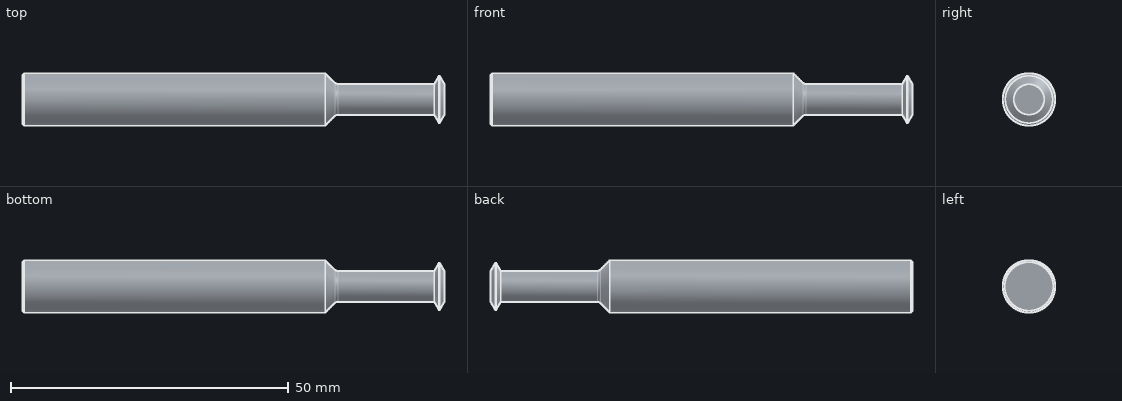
import cadquery as cq
import math

total_length = 76.2
shank_radius = 4.76
shank_length = 54.6
rear_chamfer = 0.4
neck_radius = 2.8
shoulder_angle = math.radians(45)
shoulder_fillet_radius = 0.8
cutter_radius = 4.3
cutter_tip_width = 0.15
cutter_front_radius = 2.75
flank_angle = math.radians(30)

fillet_start_radius = neck_radius + shoulder_fillet_radius * (1 - math.cos(shoulder_angle))
fillet_start_x = shank_length + (shank_radius - fillet_start_radius) / math.tan(shoulder_angle)
fillet_end_x = fillet_start_x + shoulder_fillet_radius * math.sin(shoulder_angle)
fillet_middle_x = fillet_end_x - shoulder_fillet_radius * math.sin(shoulder_angle / 2)
fillet_middle_radius = neck_radius + shoulder_fillet_radius * (1 - math.cos(shoulder_angle / 2))

tip_front_x = total_length - (cutter_radius - cutter_front_radius) * math.tan(flank_angle)
tip_rear_x = tip_front_x - cutter_tip_width
neck_end_x = tip_rear_x - (cutter_radius - neck_radius) * math.tan(flank_angle)

profile = (
    cq.Workplane("XZ")
    .moveTo(0, 0)
    .lineTo(0, shank_radius - rear_chamfer)
    .lineTo(rear_chamfer, shank_radius)
    .lineTo(shank_length, shank_radius)
    .lineTo(fillet_start_x, fillet_start_radius)
    .threePointArc((fillet_middle_x, fillet_middle_radius), (fillet_end_x, neck_radius))
    .lineTo(neck_end_x, neck_radius)
    .lineTo(tip_rear_x, cutter_radius)
    .lineTo(tip_front_x, cutter_radius)
    .lineTo(total_length, cutter_front_radius)
    .lineTo(total_length, 0)
    .close()
)

result = profile.revolve(360, (0, 0, 0), (1, 0, 0))